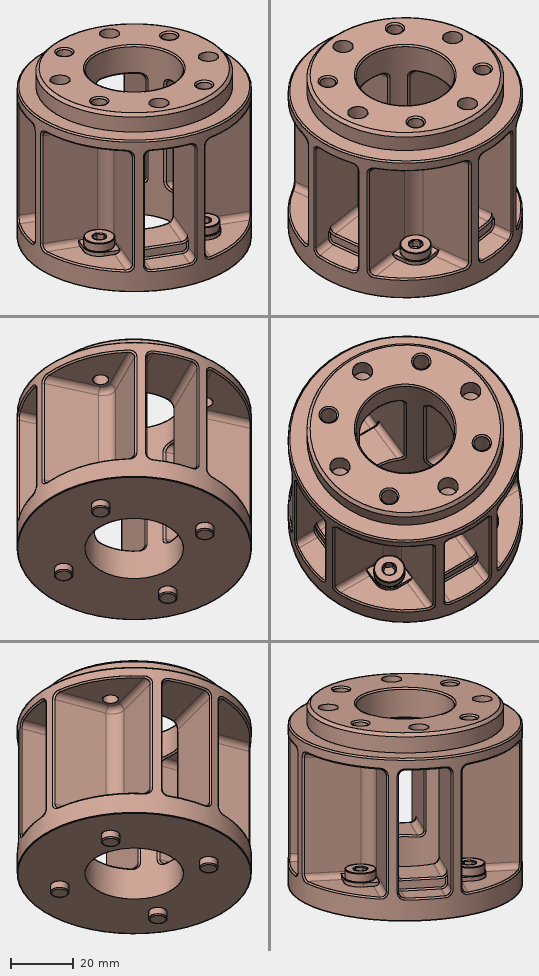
import cadquery as cq
import math

drum_diameter = 75.0
drum_height = 54.75
boss_diameter = 63.0
boss_height = 6.45
housing_height = drum_height + boss_height
bore_diameter = 31.5
edge_break = 0.5
base_chamfer = 0.2
boss_chamfer = 1.05

floor_height = 7.7
ceiling_height = 50.8
window_width = 17.1
wall_thickness = 3.75
corner_radius = 2.0
pocket_inner_radius = 4.2
sill_height = 11.55
sill_face_distance = 28.8
pocket_wall = window_width / 2 + wall_thickness

bolt_circle_diameter = 50.0
bolt_offset = bolt_circle_diameter / 2 / math.sqrt(2)
blind_hole_diameter = 6.4
blind_hole_depth = 6.75
drill_point_angle = 118.0
through_hole_diameter = 5.1

pad_height = 1.35
pad_top = floor_height + pad_height
pad_radius = 5.3
head_diameter = 10.0
head_height = 3.15
head_chamfer = 0.2
socket_flats = 4.0
socket_depth = 2.6
socket_lead_in = 0.4
shank_diameter = 5.9
shank_protrusion = 2.8
tip_chamfer = 0.4

tolerance = 0.001

quarter_turns = [0, 90, 180, 270]


def about_axis(shape, angle):
    return shape.rotate((0, 0, 0), (0, 0, 1), angle)


def cylinder(diameter, bottom, top):
    return cq.Workplane("XY").workplane(offset=bottom).circle(diameter / 2).extrude(top - bottom)


def countersink(hole_diameter, depth):
    """Conical 45 degree entry below z = 0 that breaks the top edge of a hole."""
    radius = hole_diameter / 2
    cone = cq.Solid.makeCone(radius, radius + depth, depth, cq.Vector(0, 0, -depth))
    return cq.Workplane(cone)


def make_blank():
    """Drum and boss turned as one piece, bored through, before any opening is cut."""
    drum = cylinder(drum_diameter, 0, drum_height)
    drum = drum.faces(">Z").edges().chamfer(edge_break)
    drum = drum.faces("<Z").edges().chamfer(base_chamfer)
    boss = cylinder(boss_diameter, drum_height, housing_height)
    boss = boss.faces(">Z").edges().chamfer(boss_chamfer)
    bore = cylinder(bore_diameter, 0, housing_height)
    bore = bore.union(countersink(bore_diameter, edge_break).translate((0, 0, housing_height)))
    return drum.union(boss).cut(bore)


def opening_block(start, width, bottom, top, radius):
    """Block running along +X past the drum wall, with its four long edges rounded."""
    block = cq.Workplane("XY").box(drum_diameter, width, top - bottom, centered=(False, True, False))
    return block.edges("|X").fillet(radius).translate((start, 0, bottom))


def make_window_cutter():
    """Window from the bore outward, cut deeper beyond the sill, with bevels along the sill face."""
    window = opening_block(0, window_width, sill_height, ceiling_height, corner_radius)
    recess = opening_block(sill_face_distance, window_width, floor_height, ceiling_height, corner_radius)
    recess = recess.faces("<X").edges().chamfer(edge_break)
    sill_bevel = opening_block(
        sill_face_distance - edge_break,
        window_width + 2 * edge_break,
        sill_height - edge_break,
        ceiling_height + edge_break,
        corner_radius + edge_break,
    )
    sill_bevel = sill_bevel.faces("<X").edges().chamfer(edge_break)
    bevel_limit = opening_block(0, window_width, floor_height, ceiling_height, corner_radius)
    return window.union(recess).union(sill_bevel.intersect(bevel_limit))


def make_pocket_cutter():
    """Pocket open to the outside, with a rounded inner corner and a fillet around floor and ceiling."""
    height = ceiling_height - floor_height
    block = cq.Workplane("XY").box(drum_diameter, drum_diameter, height, centered=False)
    block = block.edges("|Z").fillet(pocket_inner_radius)
    block = block.faces(">Z or <Z").edges().fillet(corner_radius)
    return block.translate((pocket_wall, pocket_wall, floor_height))


def make_pad():
    """Raised pad filling the pocket corner, rounded about the screw axis on its free corner."""
    side = bolt_offset + pad_radius - pocket_wall
    pad = cq.Workplane("XY").box(side, side, pad_height, centered=False)
    pad = pad.edges("|Z and >X and >Y").fillet(pad_radius)
    return pad.translate((pocket_wall, pocket_wall, floor_height))


def make_blind_hole():
    """Drilled hole with a conical point, midway above a window."""
    radius = blind_hole_diameter / 2
    point = radius / math.tan(math.radians(drill_point_angle / 2))
    profile = [(0, 0), (radius, 0), (radius, -blind_hole_depth), (0, -blind_hole_depth - point)]
    hole = cq.Workplane("XZ").polyline(profile).close().revolve(360, (0, 0, 0), (0, 1, 0))
    return hole.translate((bolt_circle_diameter / 2, 0, housing_height))


def make_through_hole():
    """Countersunk hole from the top face into a pocket, in line with a screw."""
    depth = housing_height - ceiling_height
    hole = cylinder(through_hole_diameter, -depth, 0).union(countersink(through_hole_diameter, edge_break))
    return hole.translate((bolt_offset, bolt_offset, housing_height))


def bevel_openings(housing, diameter):
    """Bevel the rims that the openings leave on a round wall of the given diameter."""
    lowest = floor_height - edge_break
    highest = ceiling_height + edge_break

    def is_opening_rim(edge):
        ends = [edge.startPoint(), edge.endPoint()]
        on_wall = all(abs(math.hypot(end.x, end.y) - diameter / 2) < tolerance for end in ends)
        return on_wall and all(lowest < end.z < highest for end in ends)

    return housing.edges().filter(is_opening_rim).chamfer(edge_break)


def make_housing():
    housing = make_blank()
    for angle in quarter_turns:
        housing = housing.cut(about_axis(make_window_cutter(), angle))
        housing = housing.cut(about_axis(make_pocket_cutter(), angle))
    housing = bevel_openings(housing, drum_diameter)
    housing = bevel_openings(housing, bore_diameter)
    screw_hole = cylinder(shank_diameter, 0, pad_top).translate((bolt_offset, bolt_offset, 0))
    for angle in quarter_turns:
        housing = housing.union(about_axis(make_pad(), angle))
        housing = housing.cut(about_axis(make_blind_hole(), angle))
        housing = housing.cut(about_axis(make_through_hole(), angle))
        housing = housing.cut(about_axis(screw_hole, angle))
    return housing


def make_screw(x, y):
    """Low-head socket screw whose tip stands out below the housing."""
    head_top = pad_top + head_height
    head = cylinder(head_diameter, pad_top, head_top)
    head = head.faces(">Z or <Z").edges().chamfer(head_chamfer)
    shank = cylinder(shank_diameter, -shank_protrusion, pad_top)
    shank = shank.faces("<Z").edges().chamfer(tip_chamfer)
    socket = cq.Workplane("XY").polygon(6, socket_flats / math.cos(math.pi / 6)).extrude(-socket_depth)
    socket = socket.union(countersink(socket_flats, socket_lead_in)).translate((0, 0, head_top))
    return head.union(shank).cut(socket).translate((x, y, 0))


housing = make_housing()
screw_positions = [(x, y) for x in (-bolt_offset, bolt_offset) for y in (-bolt_offset, bolt_offset)]
screws = [make_screw(x, y) for x, y in screw_positions]
result = cq.Compound.makeCompound([housing.val(), *[screw.val() for screw in screws]])